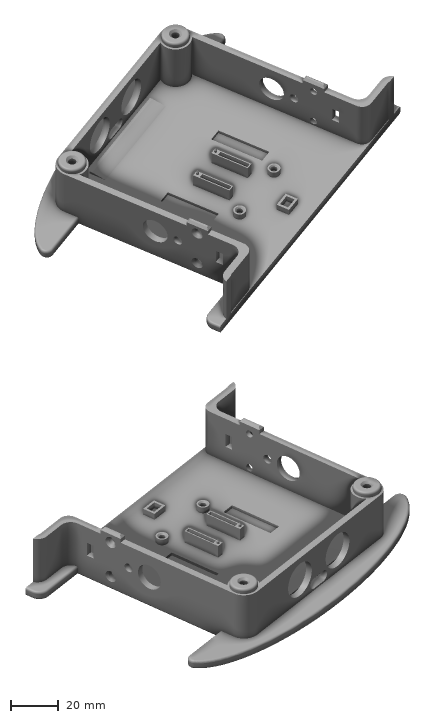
import cadquery as cq
import math

length = 108.6
half_width = 75.0
plate_thickness = 4.0
edge_chamfer = 1.0

bumper_depth = 25.2
bumper_tip_radius = 3.0

wall_thickness = 3.0
wall_top = 26.5
tray_front = 11.0
tray_half_width = 49.8
corner_radius = 7.0
bend_radius = 5.0

foot_front = 100.0
flange_front = foot_front + bend_radius
flange_thickness = 3.3
flange_back = flange_front + flange_thickness
flange_inner_radius = 4.5
flange_half_width = 65.0
lip_center_x = flange_front + bend_radius
lip_inner_radius = lip_center_x - flange_back

post_radius = 6.9
post_x = tray_front + corner_radius
post_y = tray_half_width - post_radius
cap_diameter = 12.0
cap_top = 29.0

screw_diameter = 3.5
screw_head_diameter = 5.4
screw_head_angle = 90

port_z = 15.3
side_port_x = 62.4
side_port_diameter = 12.0
pin_hole_x = 73.4
pin_hole_diameter = 4.2
screw_x = 82.8
screw_heights = (6.6, 24.3)
window_x = 93.6
window_length = 3.5
window_height = 6.6
eye_diameter = 16.5
eye_y = 13.0
slot_z = 7.6
slot_width = 11.5
slot_height = 5.4

clip_length = 10.5
clip_top = 29.5

standoff_x = 82.6
standoff_y = 14.2
standoff_height = 3.0
standoff_diameter = 5.4
standoff_hole = 2.8
standoff_chamfer = 0.6

socket_x = 97.5
socket_length = 6.0
socket_width = 7.5
socket_height = 3.0
socket_wall = 1.0

header_front = 57.0
header_back = 74.7
header_spacing = 15.2
header_y = header_spacing / 2
header_width = 3.0
header_height = 6.0
header_wall = 0.5
header_solid_end = 3.0
header_pin_inset = 1.2
header_pin_diameter = 1.2
header_pin_height = 1.0
header_pin_tip = 1.0

pocket_y = 21.0
pocket_length = 24.8
pocket_width = 6.0
pocket_depth = 1.5

ramp_front = 16.0
ramp_crest = 17.2
ramp_back = 23.7
ramp_half_width = 25.0
ramp_height = 1.2


def both_sides(solid):
    """Return the solid joined with its mirror image across the XZ plane."""
    return solid.union(solid.mirror("XZ"))


def on_floor(x, y, height=0):
    """Return a workplane at the given place and height above the floor."""
    return cq.Workplane("XY", origin=(x, y, plate_thickness + height))


def on_side(x, z):
    """Return a workplane on the outside of the -Y wall, facing outwards."""
    return cq.Workplane("XZ", origin=(x, -tray_half_width, z))


def bumper():
    body = (
        cq.Workplane("XY")
        .moveTo(bumper_depth, 0)
        .ellipseArc(bumper_depth, half_width, 90, 270, startAtCurrent=False)
        .close()
        .extrude(plate_thickness)
    )
    return body.edges("|Z").fillet(bumper_tip_radius).faces("<Z or >Z").edges().fillet(edge_chamfer)


def tray_floor():
    size_x = length - post_x
    return (
        cq.Workplane("XY")
        .box(size_x, 2 * tray_half_width, plate_thickness, centered=(False, True, False))
        .translate((post_x, 0, 0))
        .faces("<Z")
        .edges("|X")
        .fillet(edge_chamfer)
    )


def foot():
    """Rear foot on the +Y side."""
    return (
        cq.Workplane("XY")
        .moveTo(foot_front, post_y)
        .lineTo(foot_front, half_width - bend_radius)
        .radiusArc((foot_front + bend_radius, half_width), bend_radius)
        .lineTo(length, half_width)
        .lineTo(length, post_y)
        .close()
        .extrude(plate_thickness)
        .edges("(<Z or >Z) and (not >X) and (not <Y)")
        .fillet(edge_chamfer)
    )


def half_wall():
    """+Y half of the wall: front, rounded corner, side, and flange with a curled lip."""
    inner_half_width = tray_half_width - wall_thickness
    lip_overhang = lip_center_x - length
    lip_outer_y = flange_half_width + math.sqrt(bend_radius**2 - lip_overhang**2)
    lip_inner_y = flange_half_width + math.sqrt(lip_inner_radius**2 - lip_overhang**2)
    return (
        cq.Workplane("XY", origin=(0, 0, edge_chamfer))
        .moveTo(tray_front, 0)
        .lineTo(tray_front, tray_half_width - corner_radius)
        .radiusArc((tray_front + corner_radius, tray_half_width), corner_radius)
        .lineTo(foot_front, tray_half_width)
        .radiusArc((flange_front, tray_half_width + bend_radius), -bend_radius)
        .lineTo(flange_front, flange_half_width)
        .radiusArc((length, lip_outer_y), bend_radius)
        .lineTo(length, lip_inner_y)
        .radiusArc((flange_back, flange_half_width), -lip_inner_radius)
        .lineTo(flange_back, inner_half_width + flange_inner_radius)
        .radiusArc((flange_back - flange_inner_radius, inner_half_width), flange_inner_radius)
        .lineTo(tray_front + wall_thickness, inner_half_width)
        .lineTo(tray_front + wall_thickness, 0)
        .close()
        .extrude(wall_top - edge_chamfer)
    )


def post():
    cap = (
        cq.Workplane("XY", origin=(post_x, post_y, wall_top))
        .circle(cap_diameter / 2)
        .extrude(cap_top - wall_top)
        .faces(">Z")
        .fillet(edge_chamfer)
    )
    return on_floor(post_x, post_y).circle(post_radius).extrude(wall_top - plate_thickness).union(cap)


def post_hole():
    return (
        cq.Workplane("XY", origin=(post_x, post_y, cap_top))
        .circle(screw_diameter / 2)
        .extrude(plate_thickness - cap_top)
        .union(screw_seat(cq.Workplane("XY", origin=(post_x, post_y, cap_top))))
    )


def screw_seat(plane):
    """Conical screw seat that narrows inwards from the given plane."""
    depth = (screw_head_diameter - screw_diameter) / 2 / math.tan(math.radians(screw_head_angle / 2))
    return (
        plane.circle(screw_head_diameter / 2)
        .workplane(offset=-depth)
        .circle(screw_diameter / 2)
        .loft()
    )


def clip():
    """Bevelled clip rising from the +Y side wall."""
    return (
        cq.Workplane("XY", origin=(screw_x, tray_half_width - wall_thickness / 2, wall_top - edge_chamfer))
        .rect(clip_length, wall_thickness)
        .extrude(clip_top - wall_top + edge_chamfer)
        .faces(">Z")
        .chamfer(edge_chamfer)
    )


def side_openings():
    """Openings through the -Y side wall."""
    depth = -wall_thickness
    openings = on_side(side_port_x, port_z).circle(side_port_diameter / 2).extrude(depth)
    openings = openings.union(on_side(pin_hole_x, port_z).circle(pin_hole_diameter / 2).extrude(depth))
    openings = openings.union(on_side(window_x, port_z).rect(window_length, window_height).extrude(depth))
    for z in screw_heights:
        openings = openings.union(on_side(screw_x, z).circle(screw_diameter / 2).extrude(depth))
        openings = openings.union(screw_seat(on_side(screw_x, z)))
    return openings


def front_openings():
    """Two round eyes and a rounded slot through the front wall."""
    eyes = (
        cq.Workplane("YZ", origin=(tray_front, 0, port_z))
        .pushPoints([(-eye_y, 0), (eye_y, 0)])
        .circle(eye_diameter / 2)
        .extrude(wall_thickness)
    )
    slot = (
        cq.Workplane("YZ", origin=(tray_front, 0, slot_z))
        .slot2D(slot_width, slot_height)
        .extrude(wall_thickness)
    )
    return eyes.union(slot)


def standoff():
    return (
        on_floor(standoff_x, standoff_y)
        .circle(standoff_diameter / 2)
        .circle(standoff_hole / 2)
        .extrude(standoff_height)
        .faces(">Z")
        .edges("%CIRCLE")
        .edges(cq.selectors.RadiusNthSelector(0))
        .chamfer(standoff_chamfer)
    )


def socket():
    return (
        on_floor(socket_x, 0)
        .rect(socket_length, socket_width)
        .rect(socket_length - 2 * socket_wall, socket_width - 2 * socket_wall)
        .extrude(socket_height)
    )


def header():
    """Thin-walled header with a solid front end that carries a pointed pin."""
    size_x = header_back - header_front
    cavity_length = size_x - header_solid_end - header_wall
    cavity_x = header_back - header_wall - cavity_length / 2
    block = on_floor((header_front + header_back) / 2, header_y).rect(size_x, header_width)
    cavity = on_floor(cavity_x, header_y).rect(cavity_length, header_width - 2 * header_wall)
    pin_x = header_front + header_pin_inset
    pin = on_floor(pin_x, header_y, header_height).circle(header_pin_diameter / 2).extrude(header_pin_height)
    tip_base = cq.Vector(pin_x, header_y, plate_thickness + header_height + header_pin_height)
    tip = cq.Solid.makeCone(header_pin_diameter / 2, 0, header_pin_tip, tip_base)
    return block.extrude(header_height).cut(cavity.extrude(header_height)).union(pin).union(tip)


def pocket():
    pocket_x = header_back - pocket_length / 2
    return on_floor(pocket_x, pocket_y).rect(pocket_length, pocket_width).extrude(-pocket_depth)


def ramp():
    """Wide wedge behind the front wall that slopes down to the rear."""
    return (
        cq.Workplane("XZ", origin=(0, ramp_half_width, plate_thickness))
        .polyline([(ramp_front, 0), (ramp_front, ramp_height), (ramp_crest, ramp_height), (ramp_back, 0)])
        .close()
        .extrude(2 * ramp_half_width)
    )


result = bumper().union(tray_floor())
for paired in (foot(), half_wall(), post(), clip(), standoff(), header()):
    result = result.union(both_sides(paired))
result = result.union(socket()).union(ramp())

for paired in (side_openings(), post_hole(), pocket()):
    result = result.cut(both_sides(paired))
result = result.cut(front_openings())